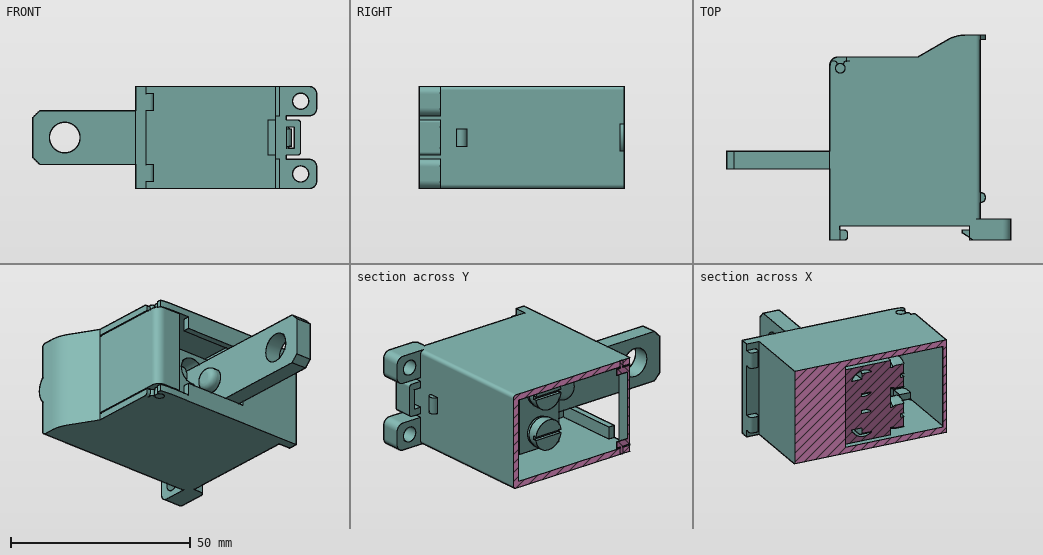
import cadquery as cq
import math


HALF_WIDTH = 14.25
WALL = 2.0
BODY_LENGTH = 42.05
LID_HEIGHT = 51.1
FULL_HEIGHT = 57.2
HUMP_START = 24.6
HUMP_ANGLE = 30.0
HUMP_RADIUS = 9.75
BACK_EDGE_FILLET = 1.1

RAIL_TOP = 3.9
FRONT_LEG = 2.85
FOOT_START = 39.0
FOOT_END = 50.5
FOOT_HEIGHT = 5.95
EAR_INNER = 6.0
EAR_FILLET = 2.1
EAR_HOLE_X = 46.0
EAR_HOLE_Z = 10.1
EAR_HOLE_RADIUS = 2.2
TONGUE_END = 46.0
TONGUE_HALF_WIDTH = 4.9
TONGUE_FILLET = 0.8
WINDOW_LENGTH = 2.1
WINDOW_HALF_WIDTH = 2.9
HOOK_LENGTH = 2.2
HOOK_HEIGHT = 2.85
HOOK_INNER = 7.5
HOOK_OUTER = 12.3
HOOK_FILLET = 0.95
BARB_REACH = 2.0
BARB_TIP_HEIGHT = 2.05
RAMP_END = 40.1

KNOB_RADIUS = 1.4
KNOB_HEIGHT = 11.9
KNOB_HALF_WIDTH = 2.45
THUMB_TAB_REACH = 1.4
THUMB_TAB_RADIUS = 5.7
THUMB_TAB_THICKNESS = 1.3

CAVITY_FLOOR = 19.8
CAVITY_HALF_WIDTH = HALF_WIDTH - WALL
SLOT_HALF_WIDTH = 8.6
WIDE_OPENING_START = 39.8

LID_THICKNESS = 1.0
LID_HALF_WIDTH = 12.0
LID_LIP_END = 43.1
LID_RADIUS = 2.45
CHEEK_THICKNESS = 2.0
CHEEK_LENGTH = 4.75
CHEEK_START = 46.65
PIN_X = 3.0
PIN_Y = 47.9
PIN_RADIUS = 1.35

NOTCH_FLOOR = 49.9
NECK_HALF_WIDTH = 0.95
NECK_FLARE = 0.6
NOTCH_END = 5.7
SHOULDER_LENGTH = 1.0
NOTCH_ROUNDING = 0.95
POST_START = 46.0
POST_LEAN = 0.4

BAR_THICKNESS = 5.0
BAR_TOP = CAVITY_FLOOR + BAR_THICKNESS
BAR_HALF_WIDTH = 7.5
BAR_REACH = 28.7
BAR_CHAMFER = 2.0
BAR_HOLE_X = -19.7
BAR_HOLE_RADIUS = 4.24
CLAMP_START = 15.05
CLAMP_LENGTH = 14.25
CLAMP_TOP = 33.8
CLAMP_HALF_WIDTH = 11.5
CLAMP_MIDDLE = CLAMP_START + CLAMP_LENGTH / 2
WIRE_HOLE_RADIUS = 3.95
WIRE_HOLE_Y = 25.4
SCREW_Z = 6.1
SCREW_RADIUS = 4.2
SCREW_HEAD_RADIUS = 4.5
SCREW_HEAD_TOP = 37.9
SCREW_HEAD_EDGE = 35.25
SCREW_HEAD_BOTTOM = 34.5
SCREW_HEAD_BULGE = 0.2
SCREW_SLOT_WIDTH = 0.95
SCREW_SLOT_DEPTH = 1.0
RIVET_X = 7.1
RIVET_RADIUS = 3.445
RIVET_HEIGHT = 3.0
RIVET_FILLET = 1.75


def box(x0, x1, y0, y1, z0, z1):
    """Box between two opposite corners."""
    return cq.Workplane("XY").box(x1 - x0, y1 - y0, z1 - z0, centered=False).translate((x0, y0, z0))


def mid_box(x0, x1, y0, y1, half_width):
    """Box centred on the mid-width plane."""
    return box(x0, x1, y0, y1, -half_width, half_width)


def y_cylinder(x, z, radius, y0, y1):
    """Cylinder along Y."""
    return cq.Workplane("XZ", origin=(x, y0, z)).circle(radius).extrude(y0 - y1)


def both_sides(solid):
    """The solid together with its mirror image in the mid-width plane."""
    return solid.union(solid.mirror("XY"))


def housing_block():
    """Side profile of the main body, with the hump rising to full height at the back."""
    angle = math.radians(HUMP_ANGLE)
    crest_x = HUMP_START + (FULL_HEIGHT - LID_HEIGHT) / math.tan(angle)
    tangent = HUMP_RADIUS * math.tan(angle / 2)
    arc_end_x = crest_x + tangent
    half = angle / 2
    arc_start = (crest_x - tangent * math.cos(angle), FULL_HEIGHT - tangent * math.sin(angle))
    arc_middle = (
        arc_end_x - HUMP_RADIUS * math.sin(half),
        FULL_HEIGHT - HUMP_RADIUS * (1 - math.cos(half)),
    )
    block = (
        cq.Workplane("XY")
        .moveTo(0, RAIL_TOP)
        .lineTo(BODY_LENGTH, RAIL_TOP)
        .lineTo(BODY_LENGTH, FULL_HEIGHT)
        .lineTo(arc_end_x, FULL_HEIGHT)
        .threePointArc(arc_middle, arc_start)
        .lineTo(HUMP_START, LID_HEIGHT)
        .lineTo(0, LID_HEIGHT)
        .close()
        .extrude(HALF_WIDTH, both=True)
    )
    return block.edges("|Y and >X").fillet(BACK_EDGE_FILLET)


def foot():
    """Foot with two screw ears and a central tongue, with slots between them."""
    body = mid_box(FOOT_START, FOOT_END, 0, FOOT_HEIGHT, HALF_WIDTH)
    body = body.cut(mid_box(BODY_LENGTH, FOOT_END, 0, FOOT_HEIGHT, EAR_INNER))
    body = body.edges("|Y and >X").fillet(EAR_FILLET)
    tongue = mid_box(BODY_LENGTH, TONGUE_END, 0, FOOT_HEIGHT, TONGUE_HALF_WIDTH)
    body = body.union(tongue.edges("|Y and >X").fillet(TONGUE_FILLET))
    window_end = BODY_LENGTH + WINDOW_LENGTH
    body = body.cut(mid_box(BODY_LENGTH, window_end, 0, FOOT_HEIGHT, WINDOW_HALF_WIDTH))
    for side in (-1, 1):
        body = body.cut(y_cylinder(EAR_HOLE_X, side * EAR_HOLE_Z, EAR_HOLE_RADIUS, 0, FOOT_HEIGHT))
    return body


def ramp_height(x):
    """Height of the lead-in slope above the mounting plane."""
    barb_tip = FOOT_START - BARB_REACH
    return BARB_TIP_HEIGHT * (RAMP_END - x) / (RAMP_END - barb_tip)


def ear_ramps():
    """Wedges that bevel the leading edge of the ears."""
    wedge = (
        cq.Workplane("XY", origin=(0, 0, EAR_INNER))
        .polyline([(FOOT_START, 0), (RAMP_END, 0), (FOOT_START, ramp_height(FOOT_START))])
        .close()
        .extrude(HALF_WIDTH - EAR_INNER)
    )
    return both_sides(wedge)


def barb():
    """Rail latch that stands out from the middle of the foot."""
    tip = FOOT_START - BARB_REACH
    points = [
        (tip, ramp_height(tip)),
        (FOOT_START, ramp_height(FOOT_START)),
        (FOOT_START, HOOK_HEIGHT),
        (tip, HOOK_HEIGHT),
    ]
    return cq.Workplane("XY").polyline(points).close().extrude(TONGUE_HALF_WIDTH, both=True)


def front_leg():
    """Front leg with two rounded rail hooks."""
    hook = box(FRONT_LEG, FRONT_LEG + HOOK_LENGTH, 0, HOOK_HEIGHT, HOOK_INNER, HOOK_OUTER)
    hook = hook.edges("|Z and >X").fillet(HOOK_FILLET)
    return mid_box(0, FRONT_LEG, 0, RAIL_TOP, HALF_WIDTH).union(both_sides(hook))


def knob():
    """Half-round knob on the back face."""
    rod = cq.Workplane("XY").center(BODY_LENGTH, KNOB_HEIGHT).circle(KNOB_RADIUS)
    return rod.extrude(KNOB_HALF_WIDTH, both=True)


def thumb_tab():
    """Thin disc segment at the top of the back face."""
    centre_x = BODY_LENGTH + THUMB_TAB_REACH - THUMB_TAB_RADIUS
    bottom = FULL_HEIGHT - THUMB_TAB_THICKNESS
    disc = y_cylinder(centre_x, 0, THUMB_TAB_RADIUS, bottom, FULL_HEIGHT)
    keep = mid_box(BODY_LENGTH, FOOT_END, bottom, FULL_HEIGHT, HALF_WIDTH)
    return disc.intersect(keep)


def cavity():
    """Inner space, open towards the lid, with the stepped opening in the front wall."""
    inner_top = LID_HEIGHT - LID_THICKNESS
    space = mid_box(WALL, BODY_LENGTH - WALL, CAVITY_FLOOR, inner_top, CAVITY_HALF_WIDTH)
    lid_opening = mid_box(0, HUMP_START, inner_top, LID_HEIGHT, CAVITY_HALF_WIDTH)
    wide = mid_box(0, WALL, WIDE_OPENING_START, LID_HEIGHT, CAVITY_HALF_WIDTH)
    slot = mid_box(0, WALL, CAVITY_FLOOR, WIDE_OPENING_START, SLOT_HALF_WIDTH)
    return space.union(lid_opening).union(wide).union(slot)


def hinge_notch():
    """Snap-in notch in one side wall: pin hole, flared neck, shoulder and leaning post edge."""
    plane = cq.Workplane("XY", origin=(0, 0, CAVITY_HALF_WIDTH))
    hole = plane.center(PIN_X, PIN_Y).circle(PIN_RADIUS).extrude(WALL)
    neck_left = PIN_X - NECK_HALF_WIDTH
    neck_right = PIN_X + NECK_HALF_WIDTH
    flare_bottom = NOTCH_FLOOR - NECK_FLARE
    flare_sweep = NECK_FLARE * (1 - math.sqrt(0.5))
    opening = (
        plane.moveTo(neck_left, PIN_Y)
        .lineTo(neck_right, PIN_Y)
        .lineTo(neck_right, flare_bottom)
        .threePointArc(
            (neck_right + flare_sweep, NOTCH_FLOOR - flare_sweep),
            (neck_right + NECK_FLARE, NOTCH_FLOOR),
        )
        .lineTo(NOTCH_END, NOTCH_FLOOR)
        .lineTo(NOTCH_END, LID_HEIGHT)
        .lineTo(0, LID_HEIGHT)
        .lineTo(0, NOTCH_FLOOR)
        .lineTo(neck_left - NECK_FLARE, NOTCH_FLOOR)
        .threePointArc(
            (neck_left - flare_sweep, NOTCH_FLOOR - flare_sweep),
            (neck_left, flare_bottom),
        )
        .close()
        .extrude(WALL)
    )
    wall_end_start = NOTCH_END - SHOULDER_LENGTH
    wall_end = box(
        wall_end_start, NOTCH_END, NOTCH_FLOOR, LID_HEIGHT, CAVITY_HALF_WIDTH, HALF_WIDTH
    )
    rounding = wall_end.edges("|Y and <X and >Z").fillet(NOTCH_ROUNDING)
    post_edge = (
        plane.moveTo(0, POST_START)
        .threePointArc((POST_LEAN / 4, (POST_START + NOTCH_FLOOR) / 2), (POST_LEAN, NOTCH_FLOOR))
        .lineTo(0, NOTCH_FLOOR)
        .close()
        .extrude(WALL)
    )
    return opening.cut(rounding).union(hole).union(post_edge)


def make_housing():
    body = housing_block().union(front_leg()).union(foot()).union(barb())
    body = body.cut(ear_ramps()).cut(cavity()).cut(both_sides(hinge_notch()))
    return body.union(knob()).union(thumb_tab())


def lid_section(thickness):
    """L-shaped lid profile with a rounded outer corner."""
    inner_radius = LID_RADIUS - thickness
    sweep = LID_RADIUS - LID_RADIUS * math.sqrt(0.5)
    inner_sweep = LID_RADIUS - inner_radius * math.sqrt(0.5)
    return (
        cq.Workplane("XY")
        .moveTo(0, LID_LIP_END)
        .lineTo(0, LID_HEIGHT - LID_RADIUS)
        .threePointArc((sweep, LID_HEIGHT - sweep), (LID_RADIUS, LID_HEIGHT))
        .lineTo(HUMP_START, LID_HEIGHT)
        .lineTo(HUMP_START, LID_HEIGHT - thickness)
        .lineTo(LID_RADIUS, LID_HEIGHT - thickness)
        .threePointArc((inner_sweep, LID_HEIGHT - inner_sweep), (thickness, LID_HEIGHT - LID_RADIUS))
        .lineTo(thickness, LID_LIP_END)
        .close()
    )


def hinge_cheek():
    """Plate inside one end of the lid corner, with the hinge pin standing out of it."""
    inner_z = LID_HALF_WIDTH - CHEEK_THICKNESS
    cheek = box(0, CHEEK_LENGTH, CHEEK_START, LID_HEIGHT, inner_z, LID_HALF_WIDTH)
    cheek = cheek.edges("|Z and <X and >Y").fillet(LID_RADIUS)
    pin = cq.Workplane("XY", origin=(PIN_X, PIN_Y, inner_z)).circle(PIN_RADIUS)
    return cheek.union(pin.extrude(HALF_WIDTH - inner_z))


def make_lid():
    shell = lid_section(LID_THICKNESS).extrude(LID_HALF_WIDTH, both=True)
    return shell.union(both_sides(hinge_cheek()))


def contact_bar():
    """Flat bar with chamfered outer corners and a bolt hole."""
    bar = mid_box(-BAR_REACH, CLAMP_START + CLAMP_LENGTH, CAVITY_FLOOR, BAR_TOP, BAR_HALF_WIDTH)
    bar = bar.edges("|Y and <X").chamfer(BAR_CHAMFER)
    return bar.cut(y_cylinder(BAR_HOLE_X, 0, BAR_HOLE_RADIUS, CAVITY_FLOOR, BAR_TOP))


def clamp_block():
    """Clamp block standing on the bar, with two wire holes along X."""
    end = CLAMP_START + CLAMP_LENGTH
    block = mid_box(CLAMP_START, end, CAVITY_FLOOR, CLAMP_TOP, CLAMP_HALF_WIDTH)
    for side in (-1, 1):
        hole = cq.Workplane("YZ", origin=(CLAMP_START, WIRE_HOLE_Y, side * SCREW_Z))
        block = block.cut(hole.circle(WIRE_HOLE_RADIUS).extrude(CLAMP_LENGTH))
    return block


def clamp_screw():
    """Slotted screw on the Y axis, its shank reaching down to the bar."""
    middle_y = (SCREW_HEAD_EDGE + SCREW_HEAD_BOTTOM) / 2
    middle_radius = SCREW_RADIUS + SCREW_HEAD_BULGE
    screw = (
        cq.Workplane("XY")
        .moveTo(0, BAR_TOP)
        .lineTo(SCREW_RADIUS, BAR_TOP)
        .lineTo(SCREW_RADIUS, SCREW_HEAD_BOTTOM)
        .threePointArc((middle_radius, middle_y), (SCREW_HEAD_RADIUS, SCREW_HEAD_EDGE))
        .lineTo(SCREW_HEAD_RADIUS, SCREW_HEAD_TOP)
        .lineTo(0, SCREW_HEAD_TOP)
        .close()
        .revolve(360, (0, 0, 0), (0, 1, 0))
    )
    slot = mid_box(
        -SCREW_HEAD_RADIUS,
        SCREW_HEAD_RADIUS,
        SCREW_HEAD_TOP - SCREW_SLOT_DEPTH,
        SCREW_HEAD_TOP,
        SCREW_SLOT_WIDTH / 2,
    )
    return screw.cut(slot)


def rivet():
    """Round-edged rivet head on the bar."""
    head = y_cylinder(RIVET_X, 0, RIVET_RADIUS, BAR_TOP, BAR_TOP + RIVET_HEIGHT)
    return head.faces(">Y").edges().fillet(RIVET_FILLET)


def make_terminal():
    body = clamp_block().union(contact_bar()).union(rivet())
    for side in (-1, 1):
        body = body.union(clamp_screw().translate((CLAMP_MIDDLE, 0, side * SCREW_Z)))
    return body


housing = make_housing()
lid = make_lid()
terminal = make_terminal()

result = cq.Compound.makeCompound([housing.val(), lid.val(), terminal.val()])